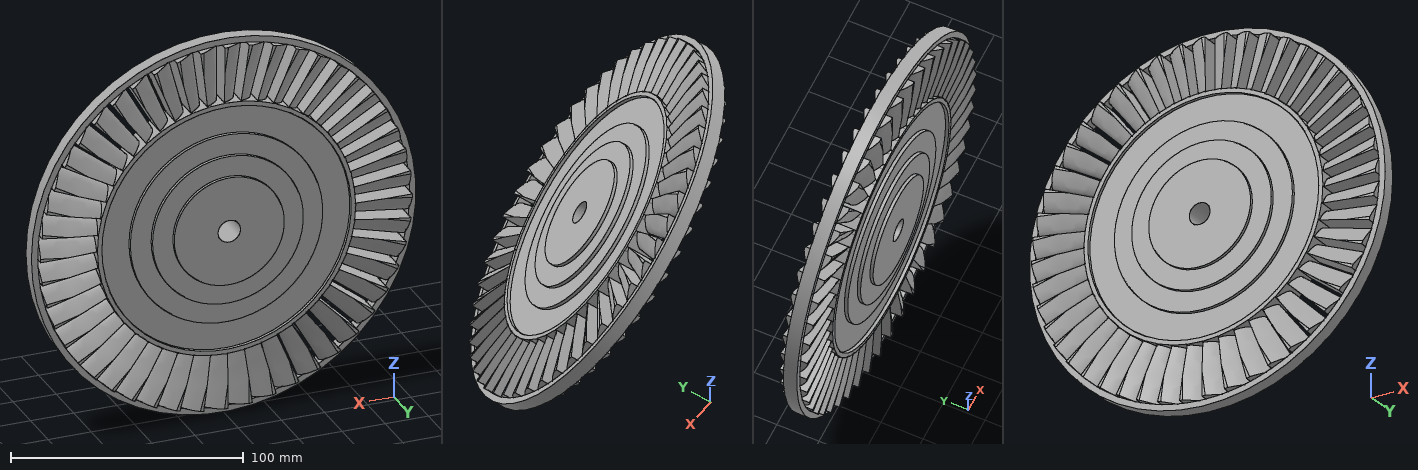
import cadquery as cq

RIM_RADIUS = 89.1
RIM_HALF_WIDTH = 3.2
BLADE_TIP_RADIUS = 86.1
HUB_RADIUS = 59.7
HUB_HALF_WIDTH = 6.5
RECESS_OUTER_RADIUS = 57.8
RECESS_INNER_RADIUS = 44.5
WEB_HALF_WIDTH = 4.8
OUTER_BOSS_RADIUS = 35.0
OUTER_BOSS_HALF_WIDTH = 8.0
INNER_BOSS_RADIUS = 25.5
TOTAL_WIDTH = 19.0
BORE_RADIUS = 5.2

BLADE_COUNT = 48
FLAT_WALL_OFFSET = 0.7
THROAT_WIDTH = 1.6
MOUTH_WIDTH = 9.6
OVERLAP = 0.4


def disc(radius, half_width):
    """Disc about the Y axis, centred on the middle plane."""
    return cq.Workplane("XZ", origin=(0, half_width, 0)).circle(radius).extrude(2 * half_width)


def ring(outer_radius, inner_radius, half_width):
    """Ring about the Y axis, centred on the middle plane."""
    return disc(outer_radius, half_width).cut(disc(inner_radius, half_width))


def hub():
    """Web with a raised lip, stacked bosses on both faces."""
    half_recess_depth = (HUB_HALF_WIDTH - WEB_HALF_WIDTH) / 2
    recess_middle = (HUB_HALF_WIDTH + WEB_HALF_WIDTH) / 2
    recess = ring(RECESS_OUTER_RADIUS, RECESS_INNER_RADIUS, half_recess_depth)
    body = disc(HUB_RADIUS, HUB_HALF_WIDTH)
    for side in (-1, 1):
        body = body.cut(recess.translate((0, side * recess_middle, 0)))
    body = body.union(disc(OUTER_BOSS_RADIUS, OUTER_BOSS_HALF_WIDTH))
    return body.union(disc(INNER_BOSS_RADIUS, TOTAL_WIDTH / 2))


def passage():
    """Gap between two blades, along +Z: a flat wall on one side, a curved back on the other."""
    throat = FLAT_WALL_OFFSET + THROAT_WIDTH
    mouth = FLAT_WALL_OFFSET + MOUTH_WIDTH
    back = [(throat, 0), (mouth, HUB_HALF_WIDTH)]
    return (
        cq.Workplane("XY")
        .workplane(offset=HUB_RADIUS - OVERLAP)
        .moveTo(FLAT_WALL_OFFSET, -HUB_HALF_WIDTH)
        .lineTo(mouth, -HUB_HALF_WIDTH)
        .spline(back, includeCurrent=True)
        .lineTo(FLAT_WALL_OFFSET, HUB_HALF_WIDTH)
        .close()
        .extrude(BLADE_TIP_RADIUS - HUB_RADIUS + 2 * OVERLAP)
    )


def blades():
    """Ring of blades left standing between the passages."""
    one_passage = passage()
    pitch = 360 / BLADE_COUNT
    cutters = [
        one_passage.rotate((0, 0, 0), (0, 1, 0), i * pitch).val() for i in range(BLADE_COUNT)
    ]
    blank = ring(BLADE_TIP_RADIUS, HUB_RADIUS, HUB_HALF_WIDTH).val()
    return cq.Workplane(blank.cut(*cutters))


rim = ring(RIM_RADIUS, BLADE_TIP_RADIUS, RIM_HALF_WIDTH)
result = blades().union(hub()).union(rim).cut(disc(BORE_RADIUS, TOTAL_WIDTH))